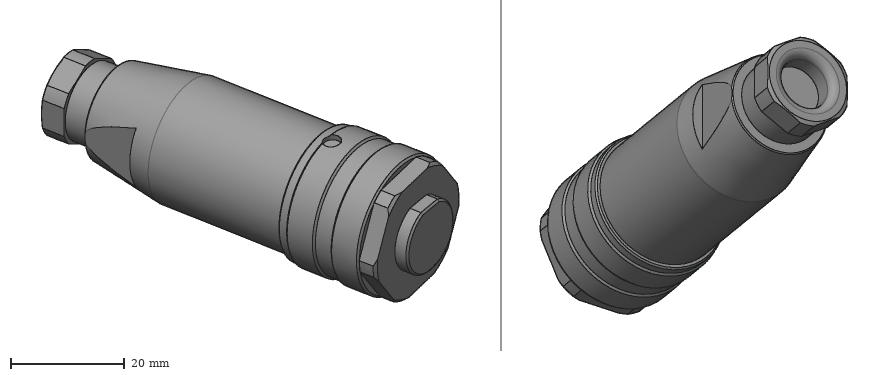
import cadquery as cq
import math

total_length = 78.4
nut_end = 5.0
sleeve_start = 10.4
flat_end = 21.55
taper_end = 26.0
coupling_start = 54.6
coupling_hex_start = 72.1
coupling_end = 75.65

nut_across_flats = 16.0
nut_corner_radius = 8.55
nut_face_radius = 7.8
nut_chamfer_length = 0.3
bore_radius = 4.8
bore_depth = 4.9
bore_mouth_fillet = 1.6

neck_radius = 7.7
sleeve_radius = 12.2
sleeve_nose_radius = 9.65
sleeve_nose_chamfer = 0.2
sleeve_flat_offset = 9.6

land_radius = 13.1
land_chamfer = 0.3
grip_radius = 13.5
grip_step = 0.4
rear_grip_start = 56.45
rear_grip_end = 62.25
front_grip_start = 66.0
coupling_angle = 5.0

hex_across_flats = 24.0
hex_corner_radius = 13.2
hex_chamfer = 0.55

marker_station = 57.85
marker_radius = 1.7
marker_floor_height = 12.2

plug_radius = 7.2
plug_chamfer = 0.4
plug_flat_height = 6.75


def revolve_profile(points):
    """Turn a list of (x, radius) points into a solid around the X axis."""
    start_x = points[0][0]
    end_x = points[-1][0]
    outline = [(start_x, 0), *points, (end_x, 0)]
    return cq.Workplane("XY").polyline(outline).close().revolve(360, (0, 0, 0), (1, 0, 0))


def hex_prism(start, end, across_flats, first_flat_angle):
    """Hexagonal bar along X; angles run from +Y towards +Z."""
    corner_distance = across_flats / 2 / math.cos(math.radians(30))
    corners = []
    for index in range(6):
        angle = math.radians(first_flat_angle + 30 + 60 * index)
        corners.append((corner_distance * math.cos(angle), corner_distance * math.sin(angle)))
    return cq.Workplane("YZ").workplane(offset=start).polyline(corners).close().extrude(end - start)


def make_nut():
    envelope = revolve_profile([
        (0, nut_face_radius),
        (nut_chamfer_length, nut_corner_radius),
        (nut_end, nut_corner_radius),
    ])
    return envelope.intersect(hex_prism(0, nut_end, nut_across_flats, 0))


def make_sleeve():
    sleeve = revolve_profile([
        (nut_end, neck_radius),
        (sleeve_start, neck_radius),
        (sleeve_start, sleeve_nose_radius - sleeve_nose_chamfer),
        (sleeve_start + sleeve_nose_chamfer, sleeve_nose_radius),
        (taper_end, sleeve_radius),
        (coupling_start, sleeve_radius),
    ])
    flat_length = flat_end - sleeve_start
    for side in (1, -1):
        flat_cut = cq.Workplane("XY").box(flat_length, sleeve_radius, 2 * sleeve_radius).translate(
            (sleeve_start + flat_length / 2, side * (sleeve_flat_offset + sleeve_radius / 2), 0)
        )
        sleeve = sleeve.cut(flat_cut)
    return sleeve


def make_coupling():
    ring = revolve_profile([
        (coupling_start, land_radius - land_chamfer),
        (coupling_start + land_chamfer, land_radius),
        (rear_grip_start, land_radius),
        (rear_grip_start + grip_step, grip_radius),
        (rear_grip_end, grip_radius),
        (rear_grip_end + grip_step, land_radius),
        (front_grip_start, land_radius),
        (front_grip_start + grip_step, grip_radius),
        (coupling_hex_start - grip_step, grip_radius),
        (coupling_hex_start, land_radius),
    ])
    hex_envelope = revolve_profile([
        (coupling_hex_start, hex_corner_radius),
        (coupling_end - hex_chamfer, hex_corner_radius),
        (coupling_end, hex_corner_radius - hex_chamfer),
    ])
    hexagon = hex_prism(coupling_hex_start, coupling_end, hex_across_flats, 90)
    marker_recess = (
        cq.Workplane("XY")
        .workplane(offset=marker_floor_height)
        .center(marker_station, 0)
        .circle(marker_radius)
        .extrude(grip_radius)
    )
    coupling = ring.union(hexagon.intersect(hex_envelope)).cut(marker_recess)
    return coupling.rotate((0, 0, 0), (1, 0, 0), coupling_angle)


def make_plug():
    plug = revolve_profile([(coupling_end, plug_radius), (total_length, plug_radius)])
    plug_length = total_length - coupling_end
    key_cut = cq.Workplane("XY").box(plug_length, 2 * plug_radius, plug_radius).translate(
        (coupling_end + plug_length / 2, 0, plug_flat_height + plug_radius / 2)
    )
    return plug.cut(key_cut).faces(">X").edges().chamfer(plug_chamfer)


def make_bore():
    """Blind bore whose mouth flares out as a quarter round."""
    mouth_radius = bore_radius + bore_mouth_fillet
    diagonal = bore_mouth_fillet * math.sqrt(0.5)
    arc_middle = (bore_mouth_fillet - diagonal, mouth_radius - diagonal)
    return (
        cq.Workplane("XY")
        .moveTo(0, 0)
        .lineTo(0, mouth_radius)
        .threePointArc(arc_middle, (bore_mouth_fillet, bore_radius))
        .lineTo(bore_depth, bore_radius)
        .lineTo(bore_depth, 0)
        .close()
        .revolve(360, (0, 0, 0), (1, 0, 0))
    )


body = make_nut().union(make_sleeve()).union(make_coupling()).union(make_plug())
result = body.cut(make_bore())